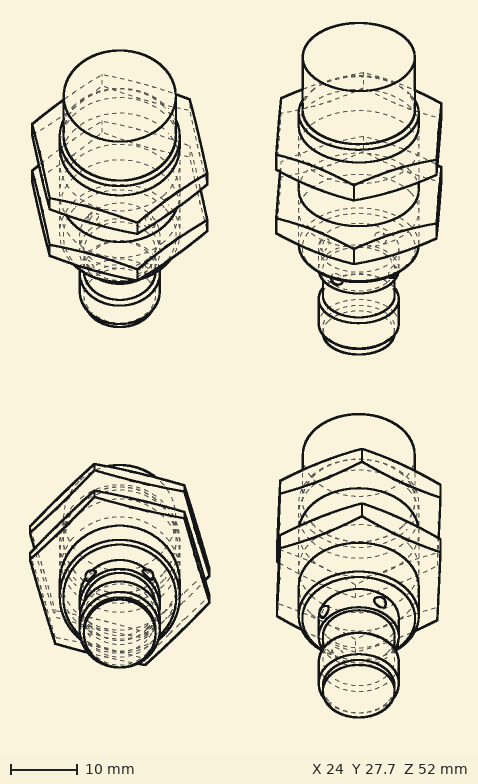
import cadquery as cq
import math

total_length = 52.0
cap_radius = 16.8 / 2
barrel_radius = 18.0 / 2
barrel_chamfer_radius = 16.9 / 2
barrel_chamfer_height = 0.6
barrel_bottom = 16.0
barrel_top = 42.0

connector_radius = 12.0 / 2
neck_radius = 10.75 / 2
connector_chamfer = connector_radius - neck_radius
thread_bottom = 1.05
thread_top = 7.0
collar_bottom = 12.0

light_count = 4
light_radius = 1.0
light_protrusion = 0.8
light_center_radius = connector_radius + light_protrusion - light_radius
light_height = (collar_bottom + barrel_bottom) / 2

nut_width = 24.0
nut_height = 4.0
nut_corner_radius = nut_width / 2 / math.cos(math.radians(30))
nut_corner_drop = 0.55
nut_bottoms = [23.0, 35.0]


def make_sensor():
    """Revolved capped barrel and connector, with the domed lights attached."""
    profile = [
        (0, 0),
        (neck_radius, 0),
        (neck_radius, thread_bottom),
        (connector_radius, thread_bottom + connector_chamfer),
        (connector_radius, thread_top - connector_chamfer),
        (neck_radius, thread_top),
        (neck_radius, collar_bottom),
        (connector_radius, collar_bottom),
        (connector_radius, barrel_bottom),
        (barrel_chamfer_radius, barrel_bottom),
        (barrel_radius, barrel_bottom + barrel_chamfer_height),
        (barrel_radius, barrel_top - barrel_chamfer_height),
        (barrel_chamfer_radius, barrel_top),
        (cap_radius, barrel_top),
        (cap_radius, total_length),
        (0, total_length),
    ]
    sensor = cq.Workplane("XZ").polyline(profile).close().revolve(360, (0, 0), (0, 1))
    for index in range(light_count):
        angle = 2 * math.pi * index / light_count
        center = (
            light_center_radius * math.cos(angle),
            light_center_radius * math.sin(angle),
            light_height,
        )
        sensor = sensor.union(cq.Workplane("XY").sphere(light_radius).translate(center))
    return sensor


def make_nut(bottom):
    """Hexagonal nut with both faces coned off at the corners and a bore for the barrel."""
    hexagon = cq.Workplane("XY").polygon(6, 2 * nut_corner_radius).extrude(nut_height)
    hexagon = hexagon.rotate((0, 0, 0), (0, 0, 1), 90)
    envelope_profile = [
        (0, 0),
        (nut_width / 2, 0),
        (nut_corner_radius, nut_corner_drop),
        (nut_corner_radius, nut_height - nut_corner_drop),
        (nut_width / 2, nut_height),
        (0, nut_height),
    ]
    envelope = cq.Workplane("XZ").polyline(envelope_profile).close().revolve(360, (0, 0), (0, 1))
    bore = cq.Workplane("XY").circle(barrel_radius).extrude(nut_height)
    return hexagon.intersect(envelope).cut(bore).translate((0, 0, bottom))


sensor = make_sensor()
nuts = [make_nut(bottom) for bottom in nut_bottoms]

result = cq.Compound.makeCompound([sensor.solids().val(), *[nut.solids().val() for nut in nuts]])